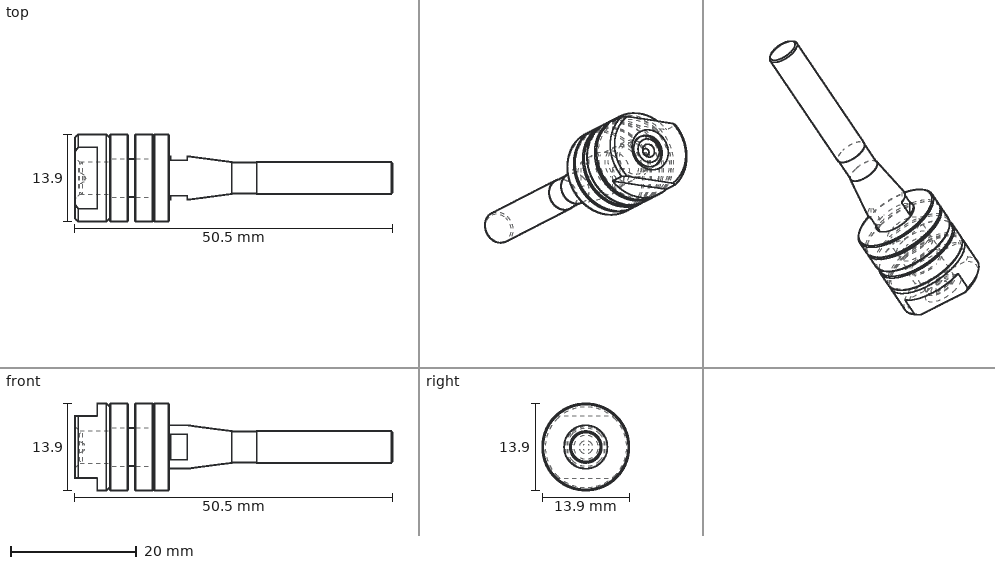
import cadquery as cq
import math


total_length = 50.5
flange_diameter = 13.9
flange_radius = flange_diameter / 2

nut_length = 5.5
nut_chamfer = 0.5
nut_flat_length = 3.55
nut_flat_width = 9.9
nut_bore_radius = 2.6
nut_mouth_radius = 3.3
nut_mouth_depth = nut_mouth_radius - nut_bore_radius

ring_length = 3.0
ring_gap = 1.0
edge_chamfer = 0.2
ring_starts = [nut_length, nut_length + ring_length + ring_gap]

seat_radius = 3.05
flange_start = ring_starts[-1] + ring_length
flange_length = 2.5
flange_end = flange_start + flange_length

tip_setback = 0.5
tip_face_radius = 1.9
tip_chamfer = nut_bore_radius - tip_face_radius
centre_mouth_radius = 1.05
centre_drill_radius = 0.55
centre_mouth_half_angle = math.radians(30)
centre_point_half_angle = math.radians(60)
centre_mouth_depth = (centre_mouth_radius - centre_drill_radius) / math.tan(centre_mouth_half_angle)
centre_point_depth = centre_drill_radius / math.tan(centre_point_half_angle)

neck_diameter = 6.9
neck_radius = neck_diameter / 2
neck_end = 18.05
neck_flat_width = 5.65
neck_flat_offset = 0.25
neck_flat_start = flange_end + neck_flat_offset
neck_flat_length = 2.6
taper_end = 24.95
relief_radius = 2.45
relief_end = 28.95
shank_diameter = 5.1
shank_radius = shank_diameter / 2
shank_chamfer = 0.25


def turned(profile):
    """Revolve a closed list of (x, radius) points about the X axis."""
    return cq.Workplane("XY").polyline(profile).close().revolve(360, (0, 0, 0), (1, 0, 0))


def block(start, length, width, height):
    """Box centred on the X axis that starts at the given x."""
    return cq.Workplane("YZ", origin=(start, 0, 0)).rect(width, height).extrude(length)


def make_nut():
    body = turned([
        (0, nut_mouth_radius),
        (0, flange_radius - nut_chamfer),
        (nut_chamfer, flange_radius),
        (nut_length - nut_chamfer, flange_radius),
        (nut_length, flange_radius - nut_chamfer),
        (nut_length, nut_bore_radius),
        (nut_mouth_depth, nut_bore_radius),
    ])
    stock = block(0, nut_flat_length, flange_diameter, flange_diameter)
    kept = block(0, nut_flat_length, flange_diameter, nut_flat_width)
    return body.cut(stock.cut(kept))


def make_ring(start):
    end = start + ring_length
    return turned([
        (start, seat_radius),
        (start, flange_radius - edge_chamfer),
        (start + edge_chamfer, flange_radius),
        (end - edge_chamfer, flange_radius),
        (end, flange_radius - edge_chamfer),
        (end, seat_radius),
    ])


def make_arbor():
    centre_mouth_end = tip_setback + centre_mouth_depth
    body = turned([
        (centre_mouth_end + centre_point_depth, 0),
        (centre_mouth_end, centre_drill_radius),
        (tip_setback, centre_mouth_radius),
        (tip_setback, tip_face_radius),
        (tip_setback + tip_chamfer, nut_bore_radius),
        (nut_length, nut_bore_radius),
        (nut_length, seat_radius),
        (flange_start, seat_radius),
        (flange_start, flange_radius - edge_chamfer),
        (flange_start + edge_chamfer, flange_radius),
        (flange_end - edge_chamfer, flange_radius),
        (flange_end, flange_radius - edge_chamfer),
        (flange_end, neck_radius),
        (neck_end, neck_radius),
        (taper_end, shank_radius),
        (taper_end, relief_radius),
        (relief_end, relief_radius),
        (relief_end, shank_radius),
        (total_length - shank_chamfer, shank_radius),
        (total_length, shank_radius - shank_chamfer),
        (total_length, 0),
    ])
    stock = block(neck_flat_start, neck_flat_length, neck_diameter, neck_diameter)
    kept = block(neck_flat_start, neck_flat_length, neck_flat_width, neck_diameter)
    return body.cut(stock.cut(kept))


nut = make_nut()
rings = [make_ring(start) for start in ring_starts]
arbor = make_arbor()

result = cq.Compound.makeCompound([nut.val(), *[ring.val() for ring in rings], arbor.val()])